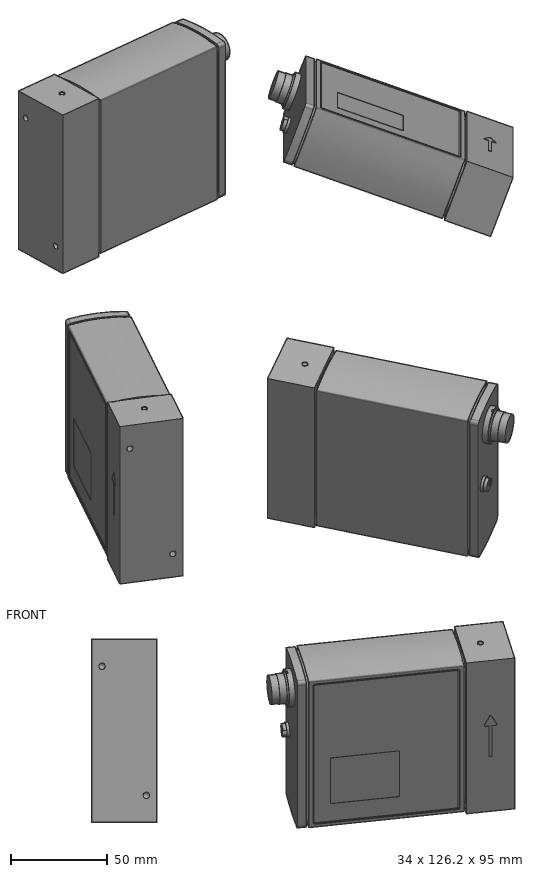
import cadquery as cq
import math

WIDTH = 34.0
LENGTH = 126.2
HEIGHT = 95.0

BLOCK_BACK = 25.5
BODY_FRONT = 26.8
BODY_BACK = 108.5
CAP_FRONT = 109.8
CAP_BACK = 114.5

CROWN_RADIUS = 94.6
BODY_EDGE_RADIUS = 0.4
CAP_CORNER_RADIUS = 2.0
GASKET_INSET = 0.4
GASKET_CORNER_RADIUS = 5.5
GASKET_BEAD_DIAMETER = 1.5
NECK_WIDTH = 28.4
NECK_HEIGHT = 90.2
NECK_CORNER_RADIUS = 5.3

MOUNT_HOLE_DIAMETER = 3.3
MOUNT_HOLE_DEPTH = 7.6
MOUNT_HOLE_X = 11.5
MOUNT_HOLE_Z = 33.5
DRILL_TIP_ANGLE = 118.0
PORT_DIAMETER = 3.0
PORT_DEPTH = 0.5
PORT_Y = 15.0

ENGRAVING_DEPTH = 0.1
ARROW_LENGTH = 25.7
ARROW_HEAD_LENGTH = 6.5
ARROW_HEAD_WIDTH = 7.3
ARROW_SHAFT_WIDTH = 1.6
ARROW_ROUNDING = 0.6
WINDOW_Y = (60.7, 97.0)
WINDOW_Z = (-32.2, -3.4)
WINDOW_CORNER_RADIUS = 0.8

GROOVE_DEPTH = 0.4
GROOVE_BEVEL = 0.32
FRAME_Y = (28.8, 106.4)
FRAME_HALF_HEIGHT = 44.2
FRAME_CORNER_RADIUS = 1.5
PANEL_Y = (29.9, 105.9)
PANEL_HALF_HEIGHT = 43.4
PANEL_CORNER_RADIUS = 0.6

CONNECTOR_Z = 31.7
CONNECTOR_FLANGE_DIAMETER = 20.1
CONNECTOR_FLANGE_BACK = 117.5
CONNECTOR_STEPS = [
    (CONNECTOR_FLANGE_DIAMETER, CONNECTOR_FLANGE_BACK),
    (17.5, 118.4),
    (16.0, 122.2),
    (15.4, LENGTH),
]
KEY_NOTCH_WIDTH = 1.6
KEY_NOTCH_LENGTH = 0.9
KEY_NOTCH_DEPTH = 0.4

SOCKET_X = 9.3
SOCKET_Z = -1.1
SOCKET_FLANGE_DIAMETER = 8.3
SOCKET_STEPS = [
    (SOCKET_FLANGE_DIAMETER, 116.0),
    (7.1, 117.9),
]
SOCKET_KEY_DIAMETER = 3.8
SOCKET_KEY_X = SOCKET_X - (SOCKET_FLANGE_DIAMETER - SOCKET_KEY_DIAMETER) / 2
SOCKET_KEY_BACK = 118.4


def plane_at(y, x=0.0, z=0.0):
    """Plane facing +Y, with its local axes along X and -Z."""
    return cq.Workplane(cq.Plane(origin=(x, y, z), xDir=(1, 0, 0), normal=(0, 1, 0)))


def cylinder(diameter, front, back, x, z):
    return plane_at(front, x, z).circle(diameter / 2).extrude(back - front)


def crowned_prism(width, height, front, back):
    """Prism along Y with flat sides and domed top and bottom."""
    half_width = width / 2
    crest = height / 2
    shoulder = crest - CROWN_RADIUS + math.sqrt(CROWN_RADIUS**2 - half_width**2)
    return (
        plane_at(front)
        .moveTo(-half_width, -shoulder)
        .threePointArc((0, -crest), (half_width, -shoulder))
        .lineTo(half_width, shoulder)
        .threePointArc((0, crest), (-half_width, shoulder))
        .close()
        .extrude(back - front)
    )


def stepped_cylinders(steps, x, z):
    """Coaxial cylinders stacked along +Y from the back of the cap."""
    front = CAP_BACK
    stack = cq.Workplane()
    for diameter, back in steps:
        stack = stack.add(cylinder(diameter, front, back, x, z))
        front = back
    return stack.combine()


def side_plate(y_range, z_range, depth, corner_radius):
    """Rounded rectangular plate just under the -X face."""
    y_size = y_range[1] - y_range[0]
    z_size = z_range[1] - z_range[0]
    center = (-WIDTH / 2 + depth / 2, sum(y_range) / 2, sum(z_range) / 2)
    plate = cq.Workplane().box(depth, y_size, z_size)
    return plate.edges("|X").fillet(corner_radius).translate(center)


def base_block():
    block = cq.Workplane().box(WIDTH, BLOCK_BACK, HEIGHT).translate((0, BLOCK_BACK / 2, 0))
    for side in (-1, 1):
        block = block.cut(mount_hole(side * MOUNT_HOLE_X, -side * MOUNT_HOLE_Z))
    port = (
        cq.Workplane("XY", origin=(0, PORT_Y, HEIGHT / 2))
        .circle(PORT_DIAMETER / 2)
        .extrude(-PORT_DEPTH)
    )
    return block.cut(port).cut(flow_arrow())


def mount_hole(x, z):
    """Blind drilled hole with a conical end, entering from the front face."""
    radius = MOUNT_HOLE_DIAMETER / 2
    tip_length = radius / math.tan(math.radians(DRILL_TIP_ANGLE / 2))
    profile = [
        (0, 0),
        (radius, 0),
        (radius, MOUNT_HOLE_DEPTH),
        (0, MOUNT_HOLE_DEPTH + tip_length),
    ]
    hole = cq.Workplane("XY").polyline(profile).close().revolve(360, (0, 0), (0, 1))
    return hole.translate((x, 0, z))


def flow_arrow():
    """Engraved arrow pointing up, centred on the -X side of the block."""
    tip = ARROW_LENGTH / 2
    head_base = tip - ARROW_HEAD_LENGTH
    half_head = ARROW_HEAD_WIDTH / 2
    shaft_length = ARROW_LENGTH - ARROW_HEAD_LENGTH + ARROW_ROUNDING
    plane = cq.Workplane("YZ", origin=(-WIDTH / 2, BLOCK_BACK / 2, 0))
    head = (
        plane.polyline([(-half_head, head_base), (half_head, head_base), (0, tip + ARROW_ROUNDING)])
        .close()
        .extrude(ENGRAVING_DEPTH)
        .edges("|X")
        .fillet(ARROW_ROUNDING)
    )
    shaft = (
        plane.center(0, -tip + shaft_length / 2)
        .rect(ARROW_SHAFT_WIDTH, shaft_length)
        .extrude(ENGRAVING_DEPTH)
        .edges("|X and <Z")
        .fillet(ARROW_ROUNDING)
    )
    return head.union(shaft)


def neck():
    length = BODY_FRONT - BLOCK_BACK
    bar = cq.Workplane().box(NECK_WIDTH, length, NECK_HEIGHT).edges("|Y").fillet(NECK_CORNER_RADIUS)
    return bar.translate((0, BLOCK_BACK + length / 2, 0))


def body():
    shell = crowned_prism(WIDTH, HEIGHT, BODY_FRONT, BODY_BACK).edges("|Y").fillet(BODY_EDGE_RADIUS)
    frame_z = (-FRAME_HALF_HEIGHT, FRAME_HALF_HEIGHT)
    panel_z = (-PANEL_HALF_HEIGHT, PANEL_HALF_HEIGHT)
    frame = side_plate(FRAME_Y, frame_z, GROOVE_DEPTH, FRAME_CORNER_RADIUS)
    frame = frame.faces(">X").edges().chamfer(GROOVE_BEVEL)
    panel = side_plate(PANEL_Y, panel_z, GROOVE_DEPTH, PANEL_CORNER_RADIUS)
    groove = frame.cut(panel)
    window = side_plate(WINDOW_Y, WINDOW_Z, ENGRAVING_DEPTH, WINDOW_CORNER_RADIUS)
    return shell.cut(groove).cut(window)


def gasket():
    """Flat core with a round bead running along its whole rim."""
    inset = GASKET_INSET + GASKET_BEAD_DIAMETER / 2
    corner_radius = GASKET_CORNER_RADIUS - GASKET_BEAD_DIAMETER / 2
    core = crowned_prism(WIDTH - 2 * inset, HEIGHT - 2 * inset, BODY_BACK, CAP_FRONT)
    core = core.edges("|Y").fillet(corner_radius)
    half_thickness = (CAP_FRONT - BODY_BACK) / 2
    rim = core.faces("<Y").wires().val().translate(cq.Vector(0, half_thickness, 0))
    bead_plane = cq.Plane(origin=rim.startPoint(), normal=rim.tangentAt(0))
    bead = cq.Workplane(bead_plane).circle(GASKET_BEAD_DIAMETER / 2).sweep(cq.Workplane(rim))
    return core.union(bead)


def cap():
    return crowned_prism(WIDTH, HEIGHT, CAP_FRONT, CAP_BACK).edges("|Y").fillet(CAP_CORNER_RADIUS)


def main_connector():
    """Round stepped connector with a small key notch on top of its flange."""
    connector = stepped_cylinders(CONNECTOR_STEPS, 0, CONNECTOR_Z)
    notch = cq.Workplane().box(KEY_NOTCH_WIDTH, KEY_NOTCH_LENGTH, 2 * KEY_NOTCH_DEPTH)
    flange_top = CONNECTOR_Z + CONNECTOR_FLANGE_DIAMETER / 2
    return connector.cut(notch.translate((0, CONNECTOR_FLANGE_BACK - KEY_NOTCH_LENGTH / 2, flange_top)))


def small_socket():
    socket = stepped_cylinders(SOCKET_STEPS, SOCKET_X, SOCKET_Z)
    key = cylinder(SOCKET_KEY_DIAMETER, CAP_BACK, SOCKET_KEY_BACK, SOCKET_KEY_X, SOCKET_Z)
    return socket.union(key)


result = base_block()
for section in (neck(), body(), gasket(), cap(), main_connector(), small_socket()):
    result = result.union(section)